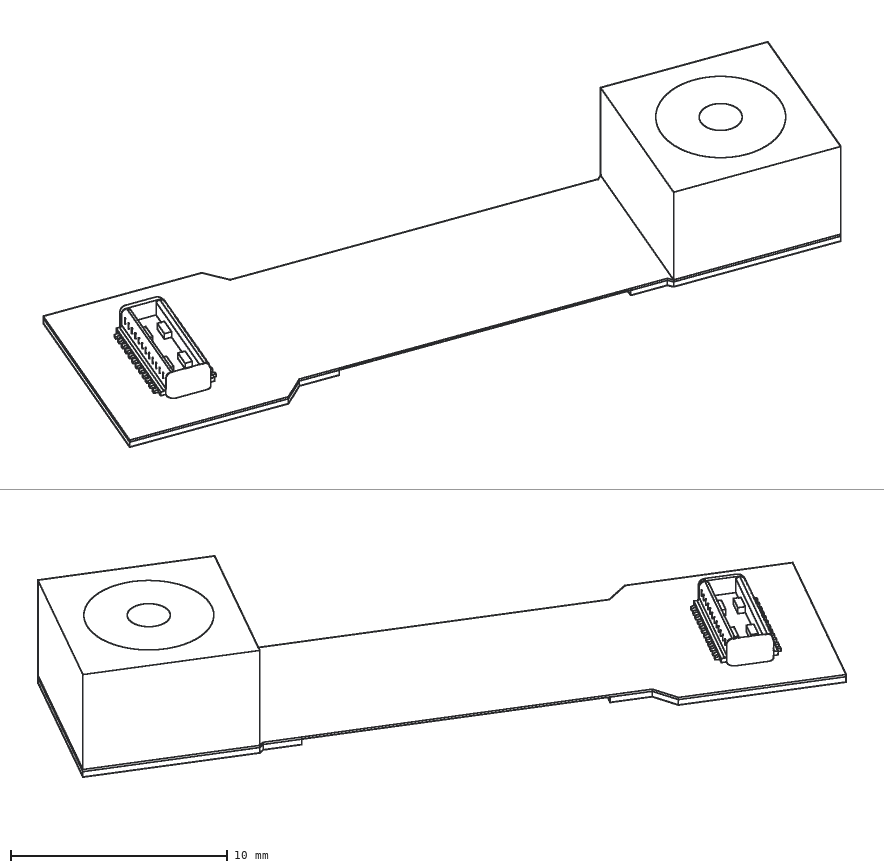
import cadquery as cq

total_length = 36.25
total_height = 5.62
flex_thickness = 0.12
stiffener_thickness = 0.3
strip_width = 8.0
wide_end_width = 10.0
wide_end_length = 8.0
wide_taper = (wide_end_width - strip_width) / 2

camera_side = 8.45
camera_height = total_height - stiffener_thickness - flex_thickness
camera_taper = (camera_side - strip_width) / 2
lens_diameter = 6.0
pupil_diameter = 2.0
lens_depth = 0.35

connector_stiffener_length = 11.02
camera_stiffener_length = 10.5

connector_y = 4.0
shell_length = 6.0
shell_width = 2.2
shell_height = 1.25
shell_corner_radius = 0.345
shell_top_radius = 0.33
middle_length = 5.15
middle_width = 2.18
wall_round_radius = 0.2
rim_width = 0.05
inner_chamfer_width = 0.18
inner_chamfer_height = 0.1
pocket_depth = 0.87
tab_length = 0.85
tab_reach = 0.35
tab_height = 0.33
tab_offset = 1.2
shelf_width = 2.72
shelf_height = 0.2
shelf_slope_width = 0.1
shelf_slope_height = 0.1
lead_count = 12
lead_pitch = 0.4
lead_width = 0.18
lead_span = 3.15
lead_root_height = 0.18
lead_tip_height = 0.1
slot_width = 0.07
slot_height = 0.308
slot_top_gap = 0.235
slot_depth = 0.1

flex_top = flex_thickness
camera_y = total_length - camera_side / 2
camera_top = flex_top + camera_height
camera_front_y = total_length - camera_side
pocket_y = middle_width / 2 - wall_round_radius - rim_width - inner_chamfer_width
row_x = [(i - (lead_count - 1) / 2) * lead_pitch for i in range(lead_count)]


def box(length, width, height, x, y, bottom_z):
    """Box centred on (x, y) and standing on bottom_z."""
    return (
        cq.Workplane("XY", origin=(x, y, bottom_z))
        .box(length, width, height, centered=(True, True, False))
    )


def circuit_plate(start_y, end_y, thickness, bottom_z):
    """Stretch of the flex outline between two Y positions."""
    half_outline = [
        (wide_end_width / 2, 0),
        (wide_end_width / 2, wide_end_length),
        (strip_width / 2, wide_end_length + wide_taper),
        (strip_width / 2, camera_front_y - camera_taper),
        (camera_side / 2, camera_front_y),
        (camera_side / 2, total_length),
    ]
    mirrored = [(-x, y) for x, y in reversed(half_outline)]
    plate = (
        cq.Workplane("XY", origin=(0, 0, bottom_z))
        .polyline(half_outline + mirrored)
        .close()
        .extrude(thickness)
    )
    stretch = box(wide_end_width, end_y - start_y, thickness, 0, (start_y + end_y) / 2, bottom_z)
    return plate.intersect(stretch)


def lens_cylinder(diameter):
    """Cylinder flush with the top of the camera block."""
    return (
        cq.Workplane("XY", origin=(0, camera_y, camera_top - lens_depth))
        .circle(diameter / 2)
        .extrude(lens_depth)
    )


def connector_prism(half_profile, length, x=0):
    """Prism along X from (y, z) points of the +Y half, mirrored about the connector centre."""
    mirrored = [(-y, z) for y, z in reversed(half_profile)]
    return (
        cq.Workplane("YZ", origin=(x - length / 2, connector_y, flex_top))
        .polyline(half_profile + mirrored)
        .close()
        .extrude(length)
    )


def make_end_caps():
    """Rounded shell ends, with the middle section left free."""
    rounded_box = (
        box(shell_length, shell_width, shell_height, 0, connector_y, flex_top)
        .edges("|Z")
        .fillet(shell_corner_radius)
        .faces(">Z")
        .edges()
        .fillet(shell_top_radius)
    )
    return rounded_box.cut(box(middle_length, shell_width, shell_height, 0, connector_y, flex_top))


def make_middle():
    """Trough between the end caps, with rounded long walls and a shelf along each foot."""
    wall_y = middle_width / 2
    shelf_y = shelf_width / 2
    rim_inner_y = wall_y - wall_round_radius - rim_width
    trough = connector_prism(
        [
            (shelf_y, 0),
            (shelf_y, shelf_height),
            (wall_y + shelf_slope_width, shelf_height),
            (wall_y, shelf_height + shelf_slope_height),
            (wall_y, shell_height),
            (rim_inner_y, shell_height),
            (pocket_y, shell_height - inner_chamfer_height),
            (pocket_y, shell_height - pocket_depth),
        ],
        middle_length,
    )
    outer_rim_edges = [trough.faces(">Z").edges(side) for side in ("<Y", ">Y")]
    return trough.newObject([edge.val() for edge in outer_rim_edges]).fillet(wall_round_radius)


def make_tabs():
    """Contact tabs on the pocket floor, two along each long wall."""
    tabs = cq.Workplane("XY")
    pocket_floor = flex_top + shell_height - pocket_depth
    for side in (-1, 1):
        tab_y = connector_y + side * (pocket_y - tab_reach / 2)
        for x in (-tab_offset, tab_offset):
            tabs = tabs.add(box(tab_length, tab_reach, tab_height, x, tab_y, pocket_floor))
    return tabs.combine()


def make_lead_pair(x):
    """Leads sloping down from both shelves at one X position."""
    return connector_prism(
        [
            (lead_span / 2, 0),
            (lead_span / 2, lead_tip_height),
            (shelf_width / 2, lead_root_height),
        ],
        lead_width,
        x,
    )


def make_slot_pair(x):
    """Contact slots in both long walls, just below the rounded rims."""
    slots = cq.Workplane("XY")
    slot_bottom = flex_top + shell_height - slot_top_gap - slot_height
    for side in (-1, 1):
        slot_y = connector_y + side * (middle_width - slot_depth) / 2
        slots = slots.add(box(slot_width, slot_depth, slot_height, x, slot_y, slot_bottom))
    return slots.combine()


def make_connector():
    """Receptacle shell with its tabs, leads and contact slots as one solid."""
    connector = make_end_caps().union(make_middle()).union(make_tabs())
    for x in row_x:
        connector = connector.union(make_lead_pair(x)).cut(make_slot_pair(x))
    return connector


flex = circuit_plate(0, total_length, flex_thickness, 0)
connector_stiffener = circuit_plate(
    0, connector_stiffener_length, stiffener_thickness, -stiffener_thickness
)
camera_stiffener = circuit_plate(
    total_length - camera_stiffener_length, total_length, stiffener_thickness, -stiffener_thickness
)
pupil = lens_cylinder(pupil_diameter)
lens_ring = lens_cylinder(lens_diameter).cut(pupil)
camera_block = box(camera_side, camera_side, camera_height, 0, camera_y, flex_top)
camera = camera_block.cut(lens_cylinder(lens_diameter))
connector = make_connector()

result = cq.Compound.makeCompound([
    flex.val(),
    connector_stiffener.val(),
    camera_stiffener.val(),
    camera.val(),
    lens_ring.val(),
    pupil.val(),
    connector.val(),
])